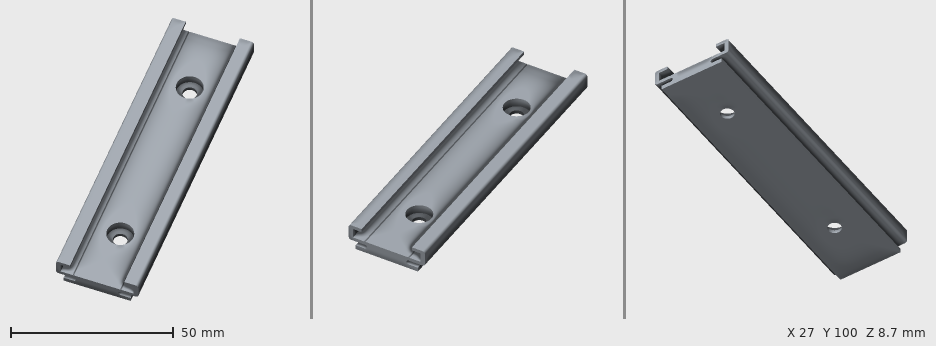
import cadquery as cq

length = 100.0
rail_width = 27.0
rail_height = 8.7

wall = 1.5
lip_thickness = 1.2
lip_opening = 17.8
floor_thickness = 1.2
floor_top = 4.2
outer_radius = 0.9

flange_width = 22.0
flange_thickness = 1.5
slot_end_spacing = 14.0

groove_spacing = 15.6
groove_width = 0.5
groove_depth = 0.3

hole_spacing = 60.0
hole_diameter = 4.5
counterbore_diameter = 8.6
counterbore_depth = 3.0


def box_between(width, bottom, top):
    """Full-length box centred on X and Y, between two heights."""
    return cq.Workplane("XY").workplane(offset=bottom).rect(width, length).extrude(top - bottom)


def make_channel():
    bottom = floor_top - floor_thickness
    channel = box_between(rail_width, bottom, rail_height).edges("|Y").fillet(outer_radius)
    cavity = box_between(rail_width - 2 * wall, floor_top, rail_height - lip_thickness)
    opening = box_between(lip_opening, floor_top, rail_height)
    return channel.cut(cavity).cut(opening)


def make_base():
    slot_top = floor_top - floor_thickness
    slot_radius = (slot_top - flange_thickness) / 2
    base = box_between(flange_width, 0, slot_top)
    for side in (-1, 1):
        slot_end = side * slot_end_spacing / 2
        arc_start = slot_end + side * slot_radius
        outer_edge = side * flange_width / 2
        slot = (
            cq.Workplane("XZ", origin=(0, length / 2, 0))
            .moveTo(outer_edge, flange_thickness)
            .lineTo(arc_start, flange_thickness)
            .threePointArc((slot_end, flange_thickness + slot_radius), (arc_start, slot_top))
            .lineTo(outer_edge, slot_top)
            .close()
            .extrude(length)
        )
        base = base.cut(slot)
    return base


def make_floor_groove(center):
    return (
        cq.Workplane("XZ", origin=(center, length / 2, floor_top))
        .polyline([(-groove_width / 2, 0), (0, -groove_depth), (groove_width / 2, 0)])
        .close()
        .extrude(length)
    )


rail = make_channel().union(make_base())
for side in (-1, 1):
    rail = rail.cut(make_floor_groove(side * groove_spacing / 2))

result = (
    rail.copyWorkplane(cq.Workplane("XY", origin=(0, 0, floor_top)))
    .pushPoints([(0, -hole_spacing / 2), (0, hole_spacing / 2)])
    .cboreHole(hole_diameter, counterbore_diameter, counterbore_depth)
)